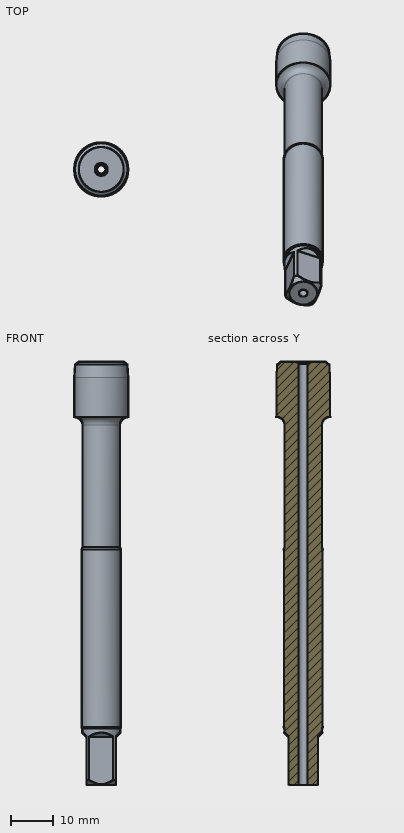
import cadquery as cq

length = 100.0

head_radius = 12.8 / 2
nose_radius = 6.2
face_radius = 5.3
face_chamfer_height = 0.7
nose_height = 3.7
head_height = 13.1
blend_height = 1.8

neck_radius = 8.9 / 2
shank_radius = 9.3 / 2
collar_radius = 9.0 / 2
shank_top = 56.2
shank_bottom = 13.4
shank_top_chamfer_height = 0.6
shank_bottom_chamfer_height = 0.3

square_width = 7.0
square_height = 11.4
end_chamfer = 1.2

hole_diameter = 2.0
mouth_diameter = 3.0
mouth_angle = 90.0


def make_body():
    """Revolve the half outline, from the bottom end up to the head face."""
    head_bottom = length - head_height
    blend_width = head_radius - neck_radius
    arc_middle_share = 1 - 0.5 ** 0.5
    blend_middle = (
        neck_radius + blend_width * arc_middle_share,
        head_bottom - blend_height * arc_middle_share,
    )
    return (
        cq.Workplane("XZ")
        .moveTo(0, 0)
        .lineTo(collar_radius - end_chamfer, 0)
        .lineTo(collar_radius, end_chamfer)
        .lineTo(collar_radius, shank_bottom)
        .lineTo(shank_radius, shank_bottom + shank_bottom_chamfer_height)
        .lineTo(shank_radius, shank_top - shank_top_chamfer_height)
        .lineTo(neck_radius, shank_top)
        .lineTo(neck_radius, head_bottom - blend_height)
        .threePointArc(blend_middle, (head_radius, head_bottom))
        .lineTo(head_radius, length - nose_height)
        .lineTo(nose_radius, length - face_chamfer_height)
        .lineTo(face_radius, length)
        .lineTo(0, length)
        .close()
        .revolve(360, (0, 0, 0), (0, 1, 0))
    )


def make_flat_cutter():
    """Wedge that cuts one flat on the +X side, with a 45 degree run-out at its top."""
    flat_distance = square_width / 2
    outer_distance = shank_radius
    runout = outer_distance - flat_distance
    return (
        cq.Workplane("XZ")
        .moveTo(flat_distance, 0)
        .lineTo(outer_distance, 0)
        .lineTo(outer_distance, square_height + runout)
        .lineTo(flat_distance, square_height)
        .close()
        .extrude(shank_radius, both=True)
    )


result = make_body()

for side in range(4):
    cutter = make_flat_cutter().rotate((0, 0, 0), (0, 0, 1), 90 * side)
    result = result.cut(cutter)

face_plane = result.faces(">Z").workplane(origin=(0, 0, length))
result = face_plane.cskHole(hole_diameter, mouth_diameter, mouth_angle)